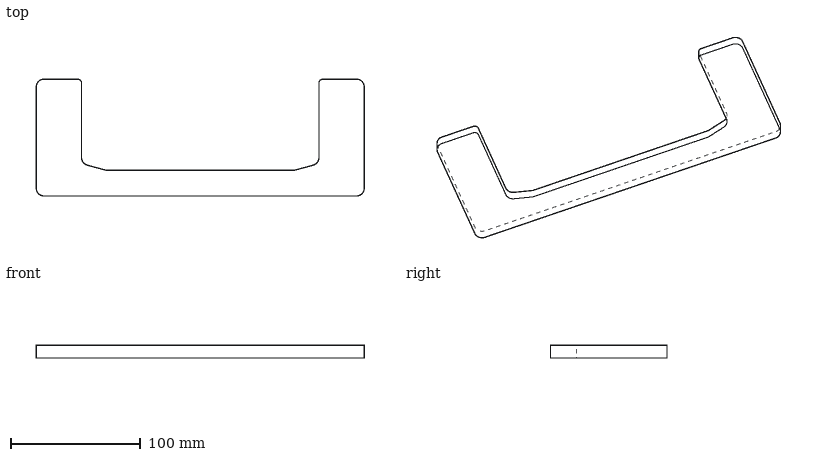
import cadquery as cq
import math

LENGTH = 252.5
DEPTH = 90.0
THICKNESS = 10.0
LEG_WIDTH = 35.0
BAR_WIDTH = 20.0

RAMP_RISE = 5.0
RAMP_ANGLE = 15.0

OUTER_RADIUS = 6.0
TIP_INNER_RADIUS = 3.0
INSIDE_RADIUS = 6.0

HALF_LENGTH = LENGTH / 2
HALF_DEPTH = DEPTH / 2
LEG_INNER_X = HALF_LENGTH - LEG_WIDTH
BAR_INNER_Y = BAR_WIDTH - HALF_DEPTH
RAMP_TOP_Y = BAR_INNER_Y + RAMP_RISE
RAMP_END_X = LEG_INNER_X - RAMP_RISE / math.tan(math.radians(RAMP_ANGLE))


def sharp_plate():
    """U-shaped plate with sharp corners, standing on Z = 0."""
    right_half = [
        (RAMP_END_X, BAR_INNER_Y),
        (LEG_INNER_X, RAMP_TOP_Y),
        (LEG_INNER_X, HALF_DEPTH),
        (HALF_LENGTH, HALF_DEPTH),
        (HALF_LENGTH, -HALF_DEPTH),
    ]
    left_half = [(-x, y) for x, y in reversed(right_half)]
    return cq.Workplane("XY").polyline(right_half + left_half).close().extrude(THICKNESS)


def round_corner_pair(plate, x, y, radius):
    """Round the two upright edges at (x, y) and (-x, y)."""
    mid_height = THICKNESS / 2
    left_edge = cq.selectors.NearestToPointSelector((-x, y, mid_height))
    right_edge = cq.selectors.NearestToPointSelector((x, y, mid_height))
    return plate.edges("|Z").edges(left_edge + right_edge).fillet(radius)


corner_pairs = [
    (HALF_LENGTH, -HALF_DEPTH, OUTER_RADIUS),
    (HALF_LENGTH, HALF_DEPTH, OUTER_RADIUS),
    (LEG_INNER_X, HALF_DEPTH, TIP_INNER_RADIUS),
    (LEG_INNER_X, RAMP_TOP_Y, INSIDE_RADIUS),
]

result = sharp_plate()
for corner_x, corner_y, corner_radius in corner_pairs:
    result = round_corner_pair(result, corner_x, corner_y, corner_radius)